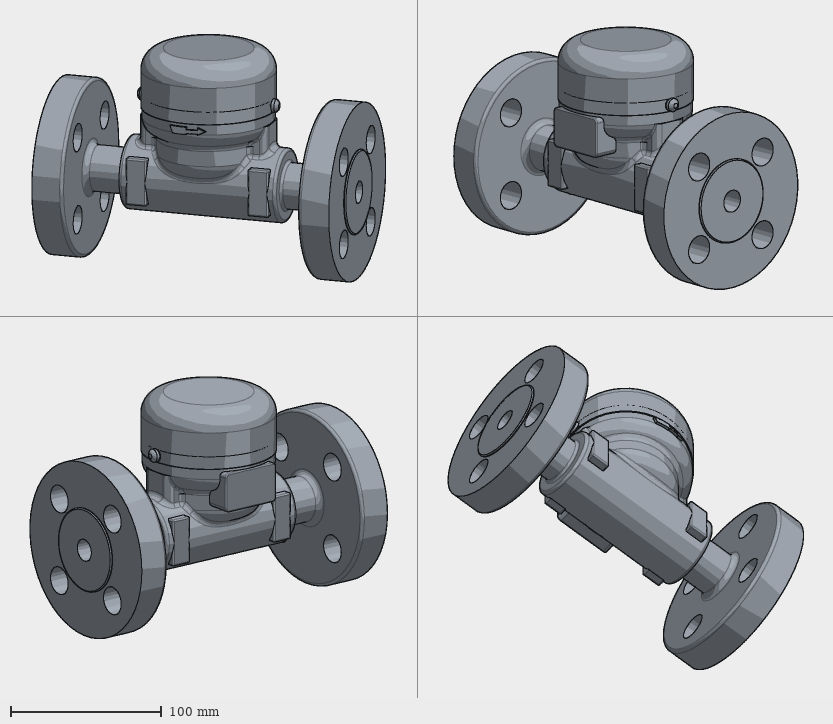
import cadquery as cq
import math

LENGTH = 210.0
HEIGHT = 150.0

FLANGE_R = 120.0 / 2
FLANGE_THICKNESS = 21.6
FLANGE_ROUND = 2.0
RAISED_FACE_R = 28.5
RAISED_FACE_HEIGHT = 1.3
RAISED_FACE_CHAMFER = 0.8
BOLT_HOLE_D = 19.0
BOLT_CIRCLE_R = 40.1
BOLT_COUNT = 4
BOLT_START_ANGLE = 45
FLANGE_FACE_X = LENGTH / 2 - RAISED_FACE_HEIGHT
FLANGE_BACK_X = FLANGE_FACE_X - FLANGE_THICKNESS

NECK_R = 31.0 / 2
NECK_FLANGE_FILLET = 4.0
NECK_BARREL_FILLET = 1.9
BARREL_R = 50.0 / 2
BARREL_HALF_LENGTH = 55.0
BARREL_ROUND = 2.0
BORE_D = 15.0
BORE_DEPTH = 67.2

PAD_INNER_X = 35.5
PAD_WIDTH = 14.3
PAD_HEIGHT = 32.0
PAD_FACE_Y = BARREL_R
PAD_ROUND = 1.0

BOWL_R = 35.0
BOWL_BOTTOM_Z = 7.1
BOWL_BOTTOM_ROUND = 11.0
BAND_R = 88.6 / 2
BAND_BOTTOM_Z = 42.6
BAND_TOP_Z = 49.8
SHOULDER_ROUND = 10.5
SHOULDER_FILLET = 4.8
SHOULDER_ROUND_CENTER_R = BAND_R - SHOULDER_ROUND
SHOULDER_FILLET_CENTER_R = BOWL_R + SHOULDER_FILLET
SHOULDER_REACH = SHOULDER_ROUND + SHOULDER_FILLET
SHOULDER_SLOPE = math.acos((SHOULDER_FILLET_CENTER_R - SHOULDER_ROUND_CENTER_R) / SHOULDER_REACH)
SHOULDER_FILLET_Z = BAND_BOTTOM_Z - SHOULDER_REACH * math.sin(SHOULDER_SLOPE)
SPIGOT_HEIGHT = 8.6
SPIGOT_TOP_Z = BAND_TOP_Z + SPIGOT_HEIGHT
BOWL_FILLET = 4.0

RIB_FACE_X = 44.7
RIB_HALF_WIDTH = 13.0
RIB_CORNER_ROUND = 5.0
RIB_INNER_FILLET = 4.0
RIB_ROOT_REACH = 37.4
RIB_SHOULDER_FILLET = 2.0

PLATE_WIDTH = 42.5
PLATE_BOTTOM_Z = 20.8
PLATE_TOP_Z = 47.7
PLATE_FACE_Y = 45.4
PLATE_CORNER_ROUND = 3.0
PLATE_EDGE_ROUND = 0.8

ARROW_R = 46.0
ARROW_TAIL_X = -12.4
ARROW_TAIL_NOTCH = 1.9
ARROW_STEP_X = -0.6
ARROW_HEAD_X = 7.1
ARROW_TIP_X = 12.4
ARROW_BOTTOM_Z = 42.6
ARROW_TOP_Z = 47.7
ARROW_SHAFT_TOP_Z = 46.0
ARROW_SHAFT_BOTTOM_Z = 43.5

CAP_R = 90.0 / 2
CAP_TOP_Z = HEIGHT - FLANGE_R
CAP_ROUND = 15.0

PIN_D = 9.0
PIN_Z = 54.4
PIN_SEAT_X = 40.0
PIN_TIP_X = 49.4
PIN_RIM_X = 47.0
PIN_TIP_R = 1.7

TOLERANCE = 0.02


def x_cylinder(radius, start, end):
    """Cylinder on the X axis from X = start to X = end."""
    return cq.Workplane("YZ", origin=(start, 0, 0)).circle(radius).extrude(end - start)


def pipe_end():
    """Flange, raised face and neck at the +X end; the neck is a profile revolved about the X axis."""
    flange_foot = FLANGE_BACK_X - NECK_FLANGE_FILLET
    barrel_foot = BARREL_HALF_LENGTH + NECK_BARREL_FILLET
    corner = math.sqrt(0.5)
    flange_arc = (1 - corner) * NECK_FLANGE_FILLET
    barrel_arc = (1 - corner) * NECK_BARREL_FILLET
    profile = (
        cq.Workplane("XY")
        .moveTo(PAD_INNER_X, 0)
        .lineTo(PAD_INNER_X, NECK_R + NECK_BARREL_FILLET)
        .lineTo(BARREL_HALF_LENGTH, NECK_R + NECK_BARREL_FILLET)
        .threePointArc((BARREL_HALF_LENGTH + barrel_arc, NECK_R + barrel_arc), (barrel_foot, NECK_R))
        .lineTo(flange_foot, NECK_R)
        .threePointArc(
            (FLANGE_BACK_X - flange_arc, NECK_R + flange_arc),
            (FLANGE_BACK_X, NECK_R + NECK_FLANGE_FILLET),
        )
        .lineTo(FLANGE_BACK_X, 0)
        .close()
    )
    neck = profile.revolve(360, (0, 0, 0), (1, 0, 0))
    flange = x_cylinder(FLANGE_R, FLANGE_BACK_X, FLANGE_FACE_X).faces("<X").edges().fillet(FLANGE_ROUND)
    raised_face = (
        x_cylinder(RAISED_FACE_R, FLANGE_FACE_X, LENGTH / 2).faces(">X").edges().chamfer(RAISED_FACE_CHAMFER)
    )
    bolt_holes = (
        cq.Workplane("YZ", origin=(FLANGE_BACK_X, 0, 0))
        .polarArray(BOLT_CIRCLE_R, BOLT_START_ANGLE, 360, BOLT_COUNT)
        .circle(BOLT_HOLE_D / 2)
        .extrude(FLANGE_THICKNESS)
    )
    return neck.union(flange).union(raised_face).cut(bolt_holes)


def bowl():
    """Round upper housing with its S-shaped shoulder, band and spigot."""
    slope = SHOULDER_SLOPE
    round_r = SHOULDER_ROUND_CENTER_R
    fillet_r = SHOULDER_FILLET_CENTER_R
    fillet_z = SHOULDER_FILLET_Z

    def round_point(angle):
        return round_r + SHOULDER_ROUND * math.cos(angle), BAND_BOTTOM_Z - SHOULDER_ROUND * math.sin(angle)

    def fillet_point(angle):
        return fillet_r - SHOULDER_FILLET * math.cos(angle), fillet_z + SHOULDER_FILLET * math.sin(angle)

    return (
        cq.Workplane("XZ")
        .moveTo(0, BOWL_BOTTOM_Z)
        .lineTo(BOWL_R, BOWL_BOTTOM_Z)
        .lineTo(BOWL_R, fillet_z)
        .threePointArc(fillet_point(slope / 2), fillet_point(slope))
        .threePointArc(round_point(slope / 2), round_point(0))
        .lineTo(BAND_R, SPIGOT_TOP_Z)
        .lineTo(0, SPIGOT_TOP_Z)
        .close()
        .revolve(360, (0, 0, 0), (0, 1, 0))
        .faces("<Z")
        .edges()
        .fillet(BOWL_BOTTOM_ROUND)
    )


def ribs():
    """Both ribs as one bar across the bowl, with flat ends just proud of the band."""
    bar = cq.Workplane("XY").rect(2 * RIB_FACE_X, 2 * RIB_HALF_WIDTH).extrude(BAND_BOTTOM_Z)
    return bar.edges("|Z").fillet(RIB_CORNER_ROUND)


def rib_roots():
    """Disc of the bowl's radius with a short bar across it, blended where ribs and bowl meet."""
    bottom_z = BOWL_BOTTOM_Z + BOWL_BOTTOM_ROUND
    height = SHOULDER_FILLET_Z - bottom_z
    plane = cq.Workplane("XY", origin=(0, 0, bottom_z))
    bar = plane.rect(2 * RIB_ROOT_REACH, 2 * RIB_HALF_WIDTH).extrude(height)
    inside = cq.selectors.BoxSelector((-BOWL_R, -BOWL_R, 0), (BOWL_R, BOWL_R, CAP_TOP_Z))
    return plane.circle(BOWL_R).extrude(height).union(bar).edges("|Z").edges(inside).fillet(RIB_INNER_FILLET)


def wrench_pads():
    """One bar across the barrel at each end, so that both of its faces stand out."""
    bar = cq.Workplane("XY").box(PAD_WIDTH, 2 * PAD_FACE_Y, PAD_HEIGHT).edges().fillet(PAD_ROUND)
    middle_x = PAD_INNER_X + PAD_WIDTH / 2
    return [bar.translate((side * middle_x, 0, 0)) for side in (-1, 1)]


def plate_pad():
    """Flat pad with rounded corners, reaching from the bowl's axis out to its face at +Y."""
    return (
        cq.Workplane("XZ")
        .center(0, (PLATE_TOP_Z + PLATE_BOTTOM_Z) / 2)
        .rect(PLATE_WIDTH, PLATE_TOP_Z - PLATE_BOTTOM_Z)
        .extrude(-PLATE_FACE_Y)
        .edges("|Y")
        .fillet(PLATE_CORNER_ROUND)
        .faces(">Y")
        .edges()
        .fillet(PLATE_EDGE_ROUND)
    )


def flow_arrow():
    """Arrow pointing along +X whose face is concentric with the band."""
    middle_z = (ARROW_BOTTOM_Z + ARROW_TOP_Z) / 2
    outline = [
        (ARROW_TAIL_X, ARROW_TOP_Z),
        (ARROW_STEP_X, ARROW_TOP_Z),
        (ARROW_STEP_X, ARROW_SHAFT_TOP_Z),
        (ARROW_HEAD_X, ARROW_SHAFT_TOP_Z),
        (ARROW_HEAD_X, ARROW_TOP_Z),
        (ARROW_TIP_X, middle_z),
        (ARROW_HEAD_X, ARROW_BOTTOM_Z),
        (ARROW_HEAD_X, ARROW_SHAFT_BOTTOM_Z),
        (ARROW_STEP_X, ARROW_SHAFT_BOTTOM_Z),
        (ARROW_STEP_X, ARROW_BOTTOM_Z),
        (ARROW_TAIL_X + ARROW_TAIL_NOTCH, ARROW_BOTTOM_Z),
    ]
    prism = cq.Workplane("XZ").polyline(outline).close().extrude(ARROW_R)
    disc = cq.Workplane("XY").circle(ARROW_R).extrude(CAP_TOP_Z)
    return prism.intersect(disc)


def make_pin(side):
    """Lock pin with a domed outer end; side is -1 or 1 along X."""
    rim_r = PIN_D / 2
    dome_depth = PIN_TIP_X - PIN_RIM_X
    center_x = PIN_RIM_X + (PIN_TIP_R**2 + dome_depth**2 - rim_r**2) / (2 * dome_depth)
    dome_r = math.hypot(rim_r, PIN_RIM_X - center_x)
    middle_x = (PIN_RIM_X + PIN_TIP_X) / 2
    middle_r = math.sqrt(dome_r**2 - (middle_x - center_x) ** 2)
    shape = (
        cq.Workplane("XY")
        .moveTo(PIN_SEAT_X, 0)
        .lineTo(PIN_SEAT_X, rim_r)
        .lineTo(PIN_RIM_X, rim_r)
        .threePointArc((middle_x, middle_r), (PIN_TIP_X, PIN_TIP_R))
        .lineTo(PIN_TIP_X, 0)
        .close()
        .revolve(360, (0, 0, 0), (1, 0, 0))
        .translate((0, 0, PIN_Z))
    )
    return shape if side > 0 else shape.mirror("YZ")


def inlet_bore():
    """Blind bore from the +X raised face."""
    return x_cylinder(BORE_D / 2, LENGTH / 2 - BORE_DEPTH, LENGTH / 2)


def both_ends(shape):
    return shape.union(shape.mirror("YZ"))


def lies_on_barrel(edge):
    """True for an edge where the bowl or a rib leaves the barrel's surface."""
    points = [edge.positionAt(position) for position in (0.1, 0.4, 0.9)]
    on_surface = all(abs(math.hypot(point.y, point.z) - BARREL_R) < TOLERANCE for point in points)
    return on_surface and edge.Center().z > TOLERANCE


def is_under_shoulder(edge):
    """True for the curved edges where the sides of the ribs run into the shoulder."""
    height = edge.Center().z
    return edge.geomType() == "BSPLINE" and SHOULDER_FILLET_Z < height < BAND_BOTTOM_Z


def make_body():
    """Barrel, bowl, ribs, pads and both flanged pipe ends, with pin seats and blind bores."""
    upper = bowl().union(ribs()).union(rib_roots())
    upper = upper.edges().filter(is_under_shoulder).fillet(RIB_SHOULDER_FILLET)
    barrel = x_cylinder(BARREL_R, -BARREL_HALF_LENGTH, BARREL_HALF_LENGTH)
    body = barrel.union(upper).edges().filter(lies_on_barrel).fillet(BOWL_FILLET)
    body = body.faces("<X or >X").edges().fillet(BARREL_ROUND)
    body = body.union(plate_pad()).union(flow_arrow())
    for pad in wrench_pads():
        body = body.union(pad)
    body = body.union(both_ends(pipe_end()))
    for side in (-1, 1):
        body = body.cut(make_pin(side))
    return body.cut(both_ends(inlet_bore()))


def make_cap():
    """Domed cap with a recess for the spigot and seats for the pins."""
    cap = (
        cq.Workplane("XY", origin=(0, 0, BAND_TOP_Z))
        .circle(CAP_R)
        .extrude(CAP_TOP_Z - BAND_TOP_Z)
        .faces(">Z")
        .edges()
        .fillet(CAP_ROUND)
    )
    spigot_recess = cq.Workplane("XY", origin=(0, 0, BAND_TOP_Z)).circle(BAND_R).extrude(SPIGOT_HEIGHT)
    cap = cap.cut(spigot_recess)
    for side in (-1, 1):
        cap = cap.cut(make_pin(side))
    return cap


body = make_body()
cap = make_cap()
pins = [make_pin(side) for side in (-1, 1)]
result = cq.Compound.makeCompound([body.val(), cap.val(), *[lock_pin.val() for lock_pin in pins]])